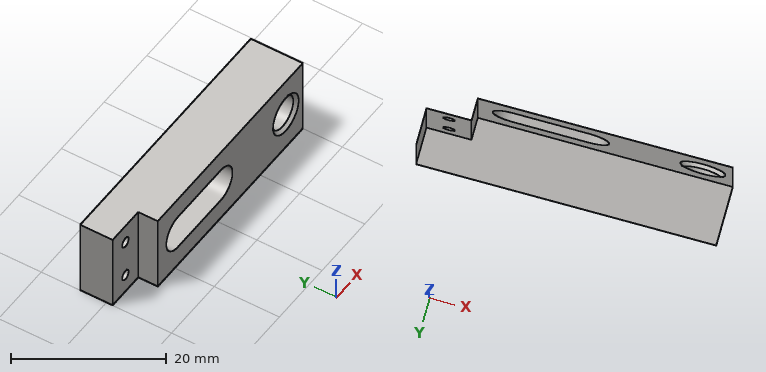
import cadquery as cq

length = 40.0
thickness = 8.0
height = 12.0

tab_length = 6.0
step_depth = 3.0

pin_diameter = 1.5
pin_spacing = 6.0

slot_width = 5.5
slot_travel = 10.0
slot_end_gap = 2.0

bore_diameter = 5.0
bore_chamfer = 0.5
bore_to_end = 4.0

mid_height = height / 2
slot_length = slot_travel + slot_width
slot_center_x = tab_length + slot_end_gap + slot_length / 2
bore_x = length - bore_to_end


def front_plane(x):
    """Sketch plane at mid height whose normal points into the part along +Y."""
    return cq.Workplane(cq.Plane(origin=(x, 0, mid_height), xDir=(1, 0, 0), normal=(0, 1, 0)))


def stepped_body():
    """Block with the front of its left end cut back to form the tab."""
    block = cq.Workplane("XY").box(length, thickness, height, centered=False)
    step = cq.Workplane("XY").box(tab_length, step_depth, height, centered=False)
    return block.cut(step)


def tab_holes():
    return (
        front_plane(tab_length / 2)
        .rarray(1, pin_spacing, 1, 2)
        .circle(pin_diameter / 2)
        .extrude(thickness)
    )


def slot():
    return front_plane(slot_center_x).slot2D(slot_length, slot_width).extrude(thickness)


def chamfered_bore():
    """Through hole with a 45 degree chamfer at its front mouth."""
    bore_radius = bore_diameter / 2
    bore = front_plane(bore_x).circle(bore_radius).extrude(thickness)
    mouth = (
        front_plane(bore_x)
        .circle(bore_radius + bore_chamfer)
        .workplane(offset=bore_chamfer)
        .circle(bore_radius)
        .loft(ruled=True)
    )
    return bore.union(mouth)


result = stepped_body().cut(tab_holes()).cut(slot()).cut(chamfered_bore())